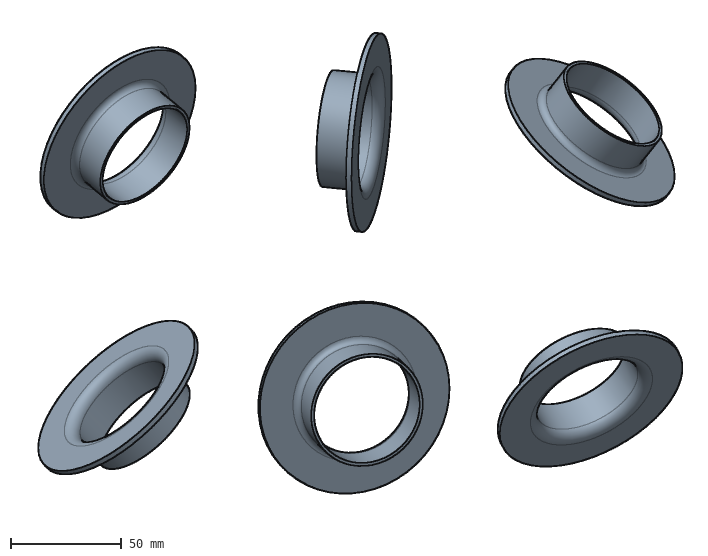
import cadquery as cq

flange_diameter = 90.0
flange_thickness = 2.5
collar_outer_diameter = 53.0
bore_diameter = 50.0
overall_length = 20.0
mouth_radius = 5.0
neck_radius = 3.0


def disc(diameter, length):
    """Solid cylinder along +X starting at the flange face, X = 0."""
    return cq.Workplane("YZ").circle(diameter / 2).extrude(length)


body = disc(flange_diameter, flange_thickness).union(disc(collar_outer_diameter, overall_length))

neck_corner = cq.selectors.RadiusNthSelector(0)
body = body.faces("<X[1]").edges(neck_corner).fillet(neck_radius)

body = body.cut(disc(bore_diameter, overall_length))
mouth_edge = cq.selectors.RadiusNthSelector(0)
result = body.faces("<X").edges(mouth_edge).fillet(mouth_radius)